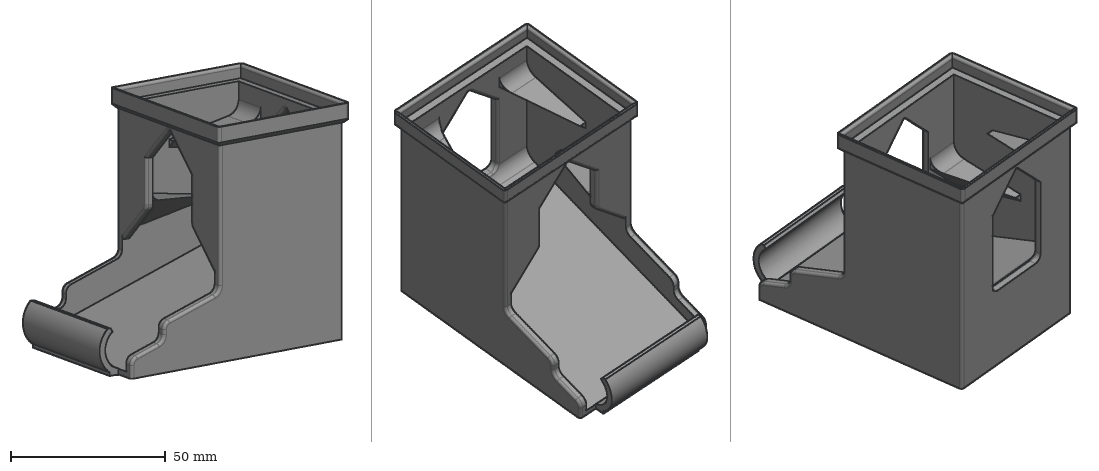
import cadquery as cq
import math

BODY_WIDTH = 57.0
TOWER_DEPTH = 49.0
TOTAL_DEPTH = 93.0
TRAY_END = 84.0
HEIGHT = 79.3
TOLERANCE = 0.1
WALL = 2.8
EDGE_RADIUS = 1.0

COLLAR_OVERHANG = 1.5
COLLAR_BAND = 5.2
RECESS_DEPTH = 4.6

FLOOR_SLOPE = math.radians(17)
FLOOR_FRONT_HEIGHT = 1.95
INNER_RADIUS = 5.0
LIP_START_HEIGHT = 23.5
STEP_POSITION = 71.2
STEP_DROP = 6.0
LIP_RADIUS = 3.0

WINDOW_HALF = 12.5
WINDOW_SHOULDER = 59.2
WINDOW_SILL = 28.8
WINDOW_CORNER_RADIUS = 2.5
FRONT_FLARE_HEIGHT = 42.3
FRONT_FLARE_RADIUS = 3.0

BAFFLE_SLOPE = math.radians(10)
BAFFLE_LENGTH = 27.5
BAFFLE_TIP_WIDTH = 2.6
BACK_BAFFLE_HEIGHT = 64.5
FRONT_BAFFLE_HEIGHT = 44.3

HOOK_WIDTH = 42.8
HOOK_RADIUS = 9.4
HOOK_THICKNESS = 2.2
HOOK_CENTER_HEIGHT = 8.9
HOOK_TOP = 15.9
HOOK_TIP_ANGLE = math.radians(54)
HOOK_FOOT_LENGTH = 3.4
HOOK_FOOT_HEIGHT = 1.4

inner_half = BODY_WIDTH / 2 - WALL
inner_back = -WALL
inner_front = WALL - TOWER_DEPTH
collar_bottom = HEIGHT - COLLAR_BAND
foot_bottom = collar_bottom - COLLAR_OVERHANG
recess_floor = HEIGHT - RECESS_DEPTH
floor_back_height = FLOOR_FRONT_HEIGHT + (TRAY_END - WALL) * math.tan(FLOOR_SLOPE)
apex_height = WINDOW_SHOULDER + WINDOW_HALF
front_reach = COLLAR_OVERHANG - TOTAL_DEPTH


def side_extrusion(profile, half_width):
    """Extrude a YZ outline symmetrically about X = 0."""
    return profile.extrude(half_width, both=True)


def rectangle_block(width, depth, bottom, top):
    """Block centred on the tower in plan, between two heights."""
    return (
        cq.Workplane("XY", origin=(0, -TOWER_DEPTH / 2, bottom))
        .rect(width, depth)
        .extrude(top - bottom)
    )


def edges_between(solid, low, high):
    """Edges whose middle lies in the box between two corners."""
    return solid.edges(cq.selectors.BoxSelector(low, high))


def outer_body():
    """Tower and tray as one solid, with rounded side edges."""
    tangent = math.tan(FLOOR_SLOPE)
    upper_lip_end = LIP_START_HEIGHT - (STEP_POSITION - TOWER_DEPTH) * tangent
    lower_lip_start = upper_lip_end - STEP_DROP
    lower_lip_end = lower_lip_start - (TRAY_END - STEP_POSITION) * tangent
    lip_corners = [
        (-TOWER_DEPTH, LIP_START_HEIGHT),
        (-STEP_POSITION, upper_lip_end),
        (-STEP_POSITION, lower_lip_start),
        (-TRAY_END, lower_lip_end),
    ]
    outline = [(0, 0), (0, foot_bottom), (-TOWER_DEPTH, foot_bottom)] + lip_corners + [(-TRAY_END, 0)]
    body = side_extrusion(cq.Workplane("YZ").polyline(outline).close(), BODY_WIDTH / 2)
    for y, z in lip_corners:
        corner = edges_between(
            body,
            (-BODY_WIDTH, y - TOLERANCE, z - TOLERANCE),
            (BODY_WIDTH, y + TOLERANCE, z + TOLERANCE),
        )
        body = corner.fillet(LIP_RADIUS)
    return body.faces("<X or >X").edges("not(<Z or >Z)").fillet(EDGE_RADIUS)


def collar():
    """Band on a 45-degree flared underside, with a stacking recess rounded open at the rim."""
    width = BODY_WIDTH + 2 * COLLAR_OVERHANG
    depth = TOWER_DEPTH + 2 * COLLAR_OVERHANG
    flared = rectangle_block(width, depth, foot_bottom, HEIGHT).faces("<Z").chamfer(COLLAR_OVERHANG)
    rounded = rectangle_block(width, depth, foot_bottom, HEIGHT).edges("|Z").fillet(EDGE_RADIUS)
    recess = rectangle_block(BODY_WIDTH, TOWER_DEPTH, recess_floor, HEIGHT)
    band = flared.intersect(rounded).cut(recess)
    rim_edges = edges_between(
        band,
        (-BODY_WIDTH / 2 - TOLERANCE, -TOWER_DEPTH - TOLERANCE, HEIGHT - TOLERANCE),
        (BODY_WIDTH / 2 + TOLERANCE, TOLERANCE, HEIGHT + TOLERANCE),
    )
    return rim_edges.fillet(EDGE_RADIUS)


def corner_filler(height, slope, half_width):
    """Concave rounding between the wall at Y = 0 and a surface falling toward -Y."""
    half_arc = (math.pi / 2 - slope) / 2
    top = height + INNER_RADIUS * math.tan(half_arc)
    foot_y = -INNER_RADIUS * (1 - math.sin(slope))
    foot_z = top - INNER_RADIUS * math.cos(slope)
    mid_y = -INNER_RADIUS * (1 - math.cos(half_arc))
    mid_z = top - INNER_RADIUS * math.sin(half_arc)
    profile = (
        cq.Workplane("YZ")
        .moveTo(0, height)
        .lineTo(0, top)
        .threePointArc((mid_y, mid_z), (foot_y, foot_z))
        .close()
    )
    return side_extrusion(profile, half_width)


def floor():
    """Solid wedge under the tray, rounded up into the back wall."""
    outline = [
        (inner_back, 0),
        (inner_back, floor_back_height),
        (-TRAY_END, FLOOR_FRONT_HEIGHT),
        (-TRAY_END, 0),
    ]
    wedge = side_extrusion(cq.Workplane("YZ").polyline(outline).close(), inner_half)
    rounding = corner_filler(floor_back_height, FLOOR_SLOPE, inner_half).translate((0, inner_back, 0))
    return wedge.union(rounding)


def round_corner(solid, x, z, radius):
    """Round the edge running along Y at the given place."""
    corner = edges_between(
        solid,
        (x - TOLERANCE, -2 * TOWER_DEPTH, z - TOLERANCE),
        (x + TOLERANCE, TOWER_DEPTH, z + TOLERANCE),
    )
    return corner.fillet(radius)


def roof_points():
    """Left shoulder, apex and right shoulder of the pointed windows."""
    return [
        (-WINDOW_HALF, WINDOW_SHOULDER),
        (0, apex_height),
        (WINDOW_HALF, WINDOW_SHOULDER),
    ]


def front_panel():
    """Front wall: pointed opening that widens at 45 degrees to the full inner width."""
    panel_half = BODY_WIDTH / 2
    panel_bottom = FRONT_FLARE_HEIGHT - (panel_half - WINDOW_HALF)
    outline = (
        [(-panel_half, recess_floor), (-panel_half, panel_bottom), (-WINDOW_HALF, FRONT_FLARE_HEIGHT)]
        + roof_points()
        + [(WINDOW_HALF, FRONT_FLARE_HEIGHT), (panel_half, panel_bottom), (panel_half, recess_floor)]
    )
    panel = cq.Workplane("XZ", origin=(0, inner_front, 0)).polyline(outline).close().extrude(WALL)
    panel = round_corner(panel, 0, apex_height, EDGE_RADIUS)
    for x in (-WINDOW_HALF, WINDOW_HALF):
        panel = round_corner(panel, x, FRONT_FLARE_HEIGHT, FRONT_FLARE_RADIUS)
    opening_edges = edges_between(
        panel,
        (-panel_half + TOLERANCE, -TOWER_DEPTH - TOLERANCE, panel_bottom),
        (panel_half - TOLERANCE, -TOWER_DEPTH + TOLERANCE, recess_floor - TOLERANCE),
    )
    return opening_edges.fillet(EDGE_RADIUS).intersect(doorway())


def doorway():
    """Space between the side walls that the front panel fills in part."""
    return (
        cq.Workplane("XY", origin=(0, inner_front - WALL / 2, 0))
        .rect(2 * inner_half, WALL)
        .extrude(recess_floor)
    )


def cut_back_window(body):
    """Pointed window through the back wall, its edges rounded on the inside."""
    outline = [(-WINDOW_HALF, WINDOW_SILL)] + roof_points() + [(WINDOW_HALF, WINDOW_SILL)]
    depth = WALL + INNER_RADIUS
    cutter = cq.Workplane("XZ").polyline(outline).close().extrude(depth)
    cutter = round_corner(cutter, 0, apex_height, EDGE_RADIUS)
    for x in (-WINDOW_HALF, WINDOW_HALF):
        cutter = round_corner(cutter, x, WINDOW_SILL, WINDOW_CORNER_RADIUS)
    inside_edges = edges_between(
        body.cut(cutter),
        (-WINDOW_HALF - TOLERANCE, inner_back - EDGE_RADIUS, WINDOW_SILL - TOLERANCE),
        (WINDOW_HALF + TOLERANCE, inner_back + TOLERANCE, apex_height),
    )
    return inside_edges.fillet(EDGE_RADIUS)


def tray_channel():
    """Open space between the tray's sides, ahead of the tower."""
    length = TRAY_END - TOWER_DEPTH
    return (
        cq.Workplane("XY", origin=(0, -TOWER_DEPTH - length / 2, 0))
        .rect(2 * inner_half, length)
        .extrude(LIP_START_HEIGHT + LIP_RADIUS)
    )


def baffle_wing(height):
    """Right-hand wing on a wall at Y = 0: sloping top, 45-degree underside, tapering to its tip."""
    root_x = WINDOW_HALF + EDGE_RADIUS
    tip_x = inner_half - BAFFLE_TIP_WIDTH
    tip_height = height - BAFFLE_LENGTH * math.tan(BAFFLE_SLOPE)

    def section(edge_x, top):
        return [(edge_x, top), (inner_half, top), (inner_half, top - (inner_half - edge_x))]

    plate = (
        cq.Workplane("XZ")
        .polyline(section(root_x, height))
        .close()
        .workplane(offset=BAFFLE_LENGTH)
        .polyline(section(tip_x, tip_height))
        .close()
        .loft(ruled=True)
    )
    plan = [(root_x, 0), (tip_x, -BAFFLE_LENGTH), (inner_half, -BAFFLE_LENGTH), (inner_half, 0)]
    prism = cq.Workplane("XY").polyline(plan).close().extrude(HEIGHT)
    return plate.union(corner_filler(height, BAFFLE_SLOPE, inner_half).intersect(prism))


def baffles():
    """Two wings on the back wall and two lower ones on the front wall."""
    back = baffle_wing(BACK_BAFFLE_HEIGHT).translate((0, inner_back, 0))
    front = baffle_wing(FRONT_BAFFLE_HEIGHT).mirror("XZ").translate((0, inner_front, 0))
    right_pair = back.union(front)
    return right_pair.union(right_pair.mirror("YZ"))


def hook():
    """Curled handle on a short foot at the tray's front."""
    center_y = front_reach + HOOK_RADIUS
    ring = side_extrusion(
        cq.Workplane("YZ", origin=(0, center_y, HOOK_CENTER_HEIGHT))
        .circle(HOOK_RADIUS)
        .circle(HOOK_RADIUS - HOOK_THICKNESS),
        HOOK_WIDTH / 2,
    )
    tip_rise = HOOK_TOP - HOOK_CENTER_HEIGHT
    keep_outline = [
        (center_y, HOOK_CENTER_HEIGHT),
        (center_y - tip_rise / math.tan(HOOK_TIP_ANGLE), HOOK_TOP),
        (front_reach, HOOK_TOP),
        (front_reach, HOOK_CENTER_HEIGHT - HOOK_RADIUS),
        (-TRAY_END, HOOK_CENTER_HEIGHT - HOOK_RADIUS),
        (-TRAY_END, HOOK_CENTER_HEIGHT),
    ]
    keep = side_extrusion(cq.Workplane("YZ").polyline(keep_outline).close(), HOOK_WIDTH / 2)
    foot_outline = [
        (-TRAY_END, 0),
        (-TRAY_END - HOOK_FOOT_LENGTH, 0),
        (-TRAY_END - HOOK_FOOT_LENGTH, HOOK_FOOT_HEIGHT),
        (-TRAY_END, HOOK_FOOT_HEIGHT),
    ]
    foot = side_extrusion(cq.Workplane("YZ").polyline(foot_outline).close(), HOOK_WIDTH / 2)
    return ring.intersect(keep).union(foot)


tower_cavity = rectangle_block(2 * inner_half, TOWER_DEPTH - 2 * WALL, 0, HEIGHT)

shell = (
    outer_body()
    .union(collar())
    .cut(tower_cavity)
    .cut(doorway())
    .cut(tray_channel())
    .union(front_panel())
    .union(floor())
)
result = cut_back_window(shell).union(baffles()).union(hook())